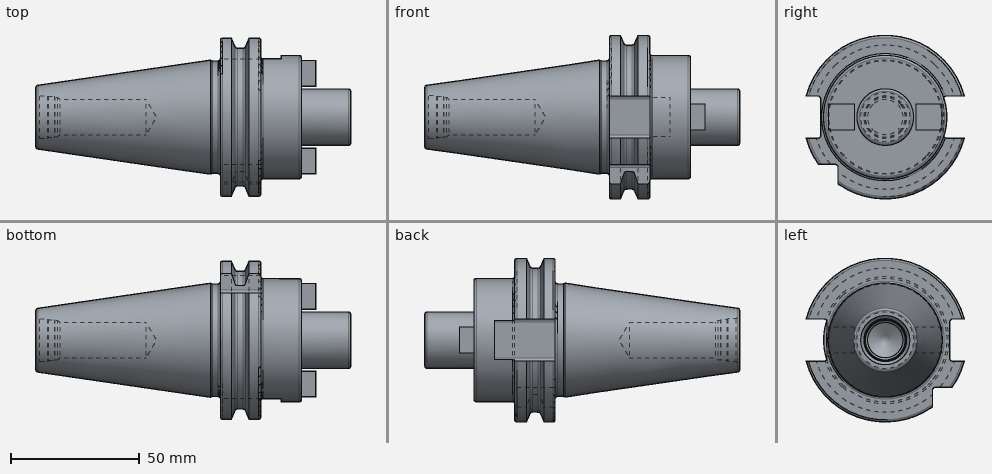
import cadquery as cq
import math


overall_length = 122.2
gauge_x = 68.2
gauge_radius = 22.2
taper_half_angle = math.atan(7 / 48)
taper_end_x = 67.7
neck_start_x = 68.5
neck_radius = 21.9
edge_round = 1.0
flange_front_round = 0.9

flange_start_x = 71.6
flange_width = 15.8
flange_radius = 31.8
flange_end_x = flange_start_x + flange_width
groove_center_x = 79.3
groove_mouth_width = 6.8
groove_floor_width = 3.5
groove_floor_radius = 28.0
groove_root_round = 1.0

slot_width = 16.4
front_slot_floor = 25.1
back_slot_floor = 22.6
back_slot_end_x = 95.2
notch_offset = 18.3
pocket_corner_round = 1.2

body_radius = 24.0
body_end_x = 103.2
body_root_round = 0.7
pilot_radius = 11.0
key_width = 10.0
key_inner_y = 12.0
key_outer_y = 22.0
key_length = 5.5

mouth_radius = 9.5
mouth_depth = 1.5
guide_radius = 8.3
guide_depth = 4.6
relief_radius = 8.0
relief_start = 5.0
relief_end = 7.2
land_radius = 7.7
land_start = 7.5
land_end = 8.4
thread_radius = 6.8
thread_start = 9.4
thread_depth = 42.8
drill_half_angle = math.radians(59)


def taper_radius(x):
    return gauge_radius + (x - gauge_x) * math.tan(taper_half_angle)


def revolve_about_x(outline):
    return outline.close().revolve(360, (0, 0, 0), (1, 0, 0))


def round_rims(solid, rims, radius):
    """Round full circular edges given as (x, radius) pairs, which may be inner or outer corners."""
    tolerance = 0.01
    for x, rim_radius in rims:
        reach = rim_radius + tolerance
        box = cq.selectors.BoxSelector(
            (x - tolerance, -reach, -reach), (x + tolerance, reach, reach), boundingbox=True
        )
        rim = solid.edges(box).edges(cq.selectors.RadiusNthSelector(-1))
        solid = rim.fillet(radius)
    return solid


def make_turned_body():
    mouth_half = groove_mouth_width / 2
    floor_half = groove_floor_width / 2
    outline = (
        cq.Workplane("XY")
        .moveTo(0, 0)
        .lineTo(0, taper_radius(0))
        .lineTo(taper_end_x, taper_radius(taper_end_x))
        .lineTo(neck_start_x, neck_radius)
        .lineTo(flange_start_x, neck_radius)
        .lineTo(flange_start_x, flange_radius)
        .lineTo(groove_center_x - mouth_half, flange_radius)
        .lineTo(groove_center_x - floor_half, groove_floor_radius)
        .lineTo(groove_center_x + floor_half, groove_floor_radius)
        .lineTo(groove_center_x + mouth_half, flange_radius)
        .lineTo(flange_end_x, flange_radius)
        .lineTo(flange_end_x, body_radius)
        .lineTo(body_end_x, body_radius)
        .lineTo(body_end_x, pilot_radius)
        .lineTo(overall_length, pilot_radius)
        .lineTo(overall_length, 0)
    )
    body = revolve_about_x(outline)
    rounded_rims = [
        (0, taper_radius(0)),
        (flange_start_x, neck_radius),
        (flange_end_x, flange_radius),
        (body_end_x, body_radius),
        (overall_length, pilot_radius),
    ]
    body = round_rims(body, rounded_rims, edge_round)
    body = round_rims(body, [(flange_start_x, flange_radius)], flange_front_round)
    body = round_rims(body, [(flange_end_x, body_radius)], body_root_round)
    groove_roots = [
        (groove_center_x - floor_half, groove_floor_radius),
        (groove_center_x + floor_half, groove_floor_radius),
    ]
    return round_rims(body, groove_roots, groove_root_round)


def make_bore():
    drill_tip_x = thread_depth + thread_radius / math.tan(drill_half_angle)
    outline = (
        cq.Workplane("XY")
        .moveTo(0, 0)
        .lineTo(0, mouth_radius)
        .lineTo(mouth_depth, guide_radius)
        .lineTo(guide_depth, guide_radius)
        .lineTo(relief_start, relief_radius)
        .lineTo(relief_end, relief_radius)
        .lineTo(land_start, land_radius)
        .lineTo(land_end, land_radius)
        .lineTo(thread_start, thread_radius)
        .lineTo(thread_depth, thread_radius)
        .lineTo(drill_tip_x, 0)
    )
    return revolve_about_x(outline)


def make_block(x_range, y_range, z_range):
    ranges = (x_range, y_range, z_range)
    sizes = [high - low for low, high in ranges]
    corner = tuple(low for low, high in ranges)
    return cq.Workplane("XY").box(*sizes, centered=False).translate(corner)


def make_drive_slot(side, floor_y, end_x):
    """Slot open to the given Y side, with rounded corners along its floor."""
    y_range = sorted((side * floor_y, side * 2 * flange_radius))
    z_range = (-slot_width / 2, slot_width / 2)
    slot = make_block((flange_start_x, end_x), y_range, z_range)
    floor_face = ">Y" if side < 0 else "<Y"
    return slot.faces(floor_face).edges("|X").fillet(pocket_corner_round)


def make_notch():
    """Corner notch at -Y, -Z across the full flange width."""
    outer = -2 * flange_radius
    span = (outer, -notch_offset)
    notch = make_block((flange_start_x, flange_end_x), span, span)
    return notch.edges("|X and >Y and >Z").fillet(pocket_corner_round)


def make_key(side):
    y_range = sorted((side * key_inner_y, side * key_outer_y))
    z_range = (-key_width / 2, key_width / 2)
    return make_block((body_end_x - edge_round, body_end_x + key_length), y_range, z_range)


result = make_turned_body().cut(make_bore())
result = result.cut(make_drive_slot(-1, front_slot_floor, flange_end_x))
result = result.cut(make_drive_slot(1, back_slot_floor, back_slot_end_x))
result = result.cut(make_notch())
for side in (-1, 1):
    result = result.union(make_key(side))